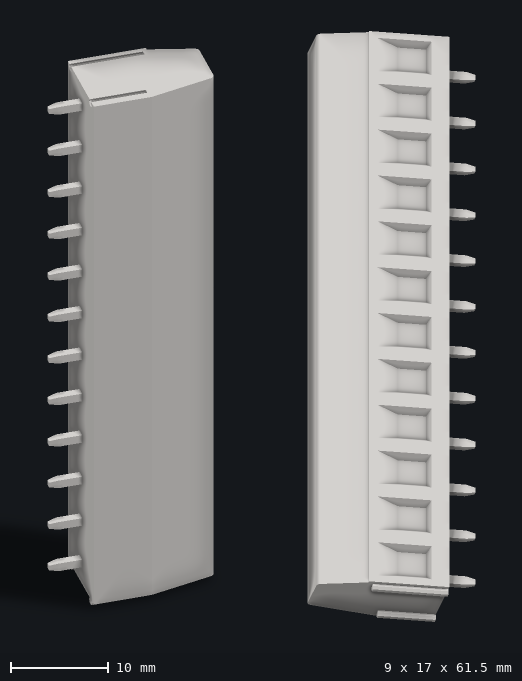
import cadquery as cq

overall_height = 61.55
body_width = 9.0
body_depth = 13.5
body_height = 60.95
entry_face_depth = 8.4
back_face_depth = 6.2
ledge = 0.3
crown_left = -2.8
crown_right = 2.85
crown_radius = 0.55

pole_count = 12
pitch = body_height / pole_count
pole_heights = [(i + 0.5) * pitch for i in range(pole_count)]

pocket_depth = 0.85
mouth_near, mouth_far, mouth_height = 1.85, 7.5, 3.7
floor_near, floor_far, floor_height = 2.3, 5.25, 2.6

pin_size = 0.9
pin_length = 3.5
pin_tip_length = 1.0
pin_tip_size = 0.55

entry_rail_x = -3.65
back_rail_x = 3.3
rail_neck = 0.55
rail_bulge = 0.9
rail_height = overall_height - body_height
entry_rail_length = 7.9
back_rail_length = 6.05


def make_body():
    half = body_width / 2
    outline = [
        (-half, 0),
        (half, 0),
        (half, back_face_depth),
        (crown_right, body_depth),
        (crown_left, body_depth),
        (-half + ledge, entry_face_depth),
        (-half, entry_face_depth),
    ]
    body = cq.Workplane("XY").polyline(outline).close().extrude(body_height)
    return body.faces(">Y").edges("|Z").fillet(crown_radius)


def make_pocket(z):
    mouth_middle = (mouth_near + mouth_far) / 2
    floor_middle = (floor_near + floor_far) / 2
    return (
        cq.Workplane("YZ", origin=(-body_width / 2, mouth_middle, z))
        .rect(mouth_far - mouth_near, mouth_height)
        .workplane(offset=pocket_depth)
        .center(floor_middle - mouth_middle, 0)
        .rect(floor_far - floor_near, floor_height)
        .loft(ruled=True)
    )


def make_pin(z):
    shank_length = pin_length - pin_tip_length
    shank = cq.Workplane("XZ", origin=(0, 0, z)).rect(pin_size, pin_size).extrude(shank_length)
    tip = (
        cq.Workplane("XZ", origin=(0, -shank_length, z))
        .rect(pin_size, pin_size)
        .workplane(offset=pin_tip_length)
        .rect(pin_tip_size, pin_tip_size)
        .loft(ruled=True)
    )
    return shank.union(tip)


def make_rail(x, length, top_z):
    """Rail hanging from top_z, widest at half height, running from the seating face towards +Y."""
    section = [
        (x - rail_neck / 2, top_z),
        (x - rail_bulge / 2, top_z - rail_height / 2),
        (x - rail_neck / 2, top_z - rail_height),
        (x + rail_neck / 2, top_z - rail_height),
        (x + rail_bulge / 2, top_z - rail_height / 2),
        (x + rail_neck / 2, top_z),
    ]
    return cq.Workplane("XZ").polyline(section).close().extrude(-length)


result = make_body()
for rail_x, rail_length in ((entry_rail_x, entry_rail_length), (back_rail_x, back_rail_length)):
    groove = make_rail(rail_x, rail_length, body_height)
    result = result.cut(groove).union(make_rail(rail_x, rail_length, 0))
for pole_z in pole_heights:
    result = result.cut(make_pocket(pole_z)).union(make_pin(pole_z))